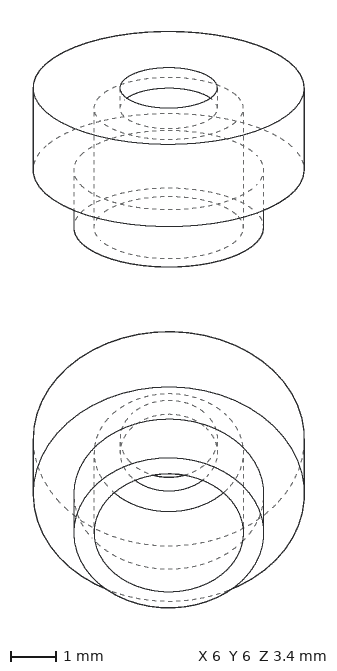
import cadquery as cq

head_diameter = 6.0
head_height = 2.0
spigot_diameter = 4.2
spigot_height = 1.4
hole_diameter = 2.15
bore_diameter = 3.3
top_wall_thickness = 0.5

total_height = spigot_height + head_height
bore_depth = total_height - top_wall_thickness


def cylinder(diameter, height, base_z=0.0):
    """Upright cylinder on the Z axis, standing on base_z."""
    return cq.Workplane("XY").workplane(offset=base_z).circle(diameter / 2).extrude(height)


spigot = cylinder(spigot_diameter, spigot_height)
head = cylinder(head_diameter, head_height, spigot_height)
body = spigot.union(head)

through_hole = cylinder(hole_diameter, total_height)
lower_bore = cylinder(bore_diameter, bore_depth)

result = body.cut(through_hole).cut(lower_bore)